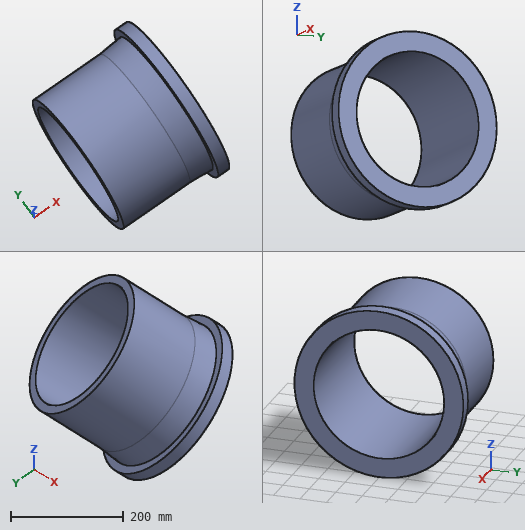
import cadquery as cq

total_length = 218.0
flange_thickness = 25.0
taper_length = 48.0
flange_start = total_length - flange_thickness
taper_start = flange_start - taper_length

flange_radius = 320.0 / 2
taper_end_radius = 288.0 / 2
pipe_radius = 280.0 / 2
bore_radius = 246.7 / 2

half_section = (
    cq.Workplane("XY")
    .moveTo(0, bore_radius)
    .lineTo(0, pipe_radius)
    .lineTo(taper_start, pipe_radius)
    .lineTo(flange_start, taper_end_radius)
    .lineTo(flange_start, flange_radius)
    .lineTo(total_length, flange_radius)
    .lineTo(total_length, bore_radius)
    .close()
)

result = half_section.revolve(360, (0, 0, 0), (1, 0, 0))